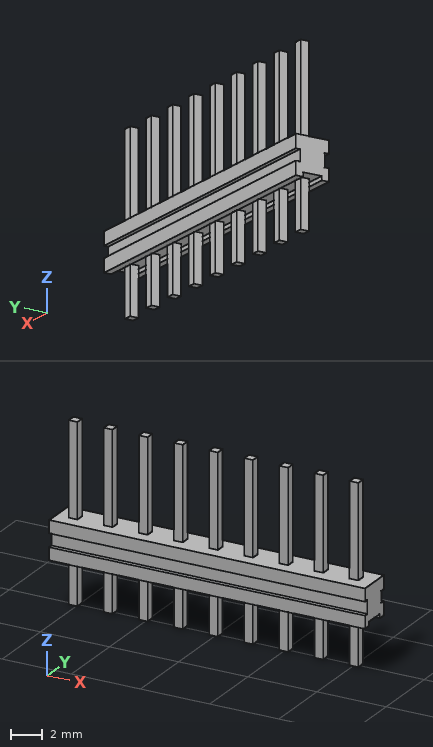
import cadquery as cq


pin_count = 9
housing_length = 22.85
housing_width = 2.5
housing_height = 2.8
pitch = housing_length / pin_count

groove_depth = 0.32
front_groove_height = 0.95
rear_groove_height = 0.82

channel_depth = 0.3
foot_width = 0.55
channel_width = housing_width - 2 * foot_width

pin_size = 0.65
pin_length = 12.7
pin_drop = 3.2
pin_row_shift = -0.05


def bar_along_x(width, height, y, z):
    """A bar as long as the housing, with its section centred at (y, z)."""
    return cq.Workplane("XY").box(housing_length, width, height).translate((0, y, z))


def make_housing():
    mid_height = housing_height / 2
    groove_y = (housing_width - groove_depth) / 2
    body = bar_along_x(housing_width, housing_height, 0, mid_height)
    front_groove = bar_along_x(groove_depth, front_groove_height, -groove_y, mid_height)
    rear_groove = bar_along_x(groove_depth, rear_groove_height, groove_y, mid_height)
    channel = bar_along_x(channel_width, channel_depth, 0, channel_depth / 2)
    return body.cut(front_groove).cut(rear_groove).cut(channel)


def make_pins():
    return (
        cq.Workplane("XY", origin=(pin_row_shift, 0, -pin_drop))
        .rarray(pitch, 0.23, pin_count, 1)
        .rect(pin_size, pin_size)
        .extrude(pin_length)
    )


result = make_housing().union(make_pins())